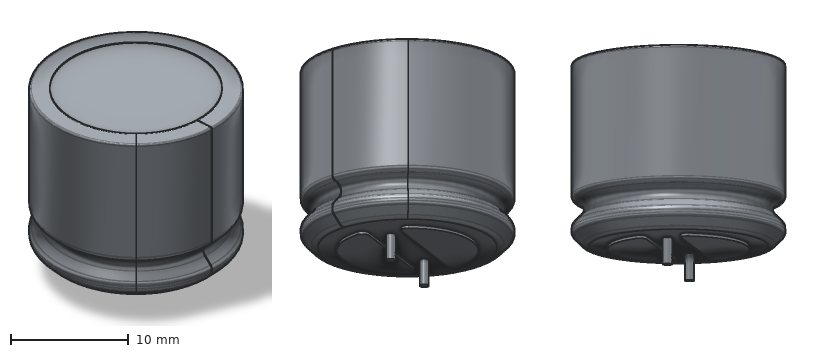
import cadquery as cq
import math


outer_radius = 9.1
top_z = 15.95
foot_height = 0.27

film_thickness = 0.1
top_opening_radius = 7.31
mark_angle = 45.0

top_edge_radius = 0.18
shoulder_radius = 0.51
shoulder_z = 4.64
shoulder_sweep = 79.0
groove_radius = 0.78
bead_upper_radius = 0.58
bead_lower_radius = 0.5
bead_lower_z = 1.51
bottom_edge_radius = 0.65
cone_slope = 45.0

join_tolerance = 0.0002

bung_radius = 7.6
bung_top_z = 3.37

foot_radius = 6.0
foot_gap = 3.0
foot_corner_radius = 0.6

pin_diameter = 0.8
pin_pitch = 7.5
pin_reach = 2.0


def on_circle(center, radius, angle):
    """Point of a circle in the (radius, height) plane at an angle from the outward direction."""
    turn = math.radians(angle)
    return (center[0] + radius * math.cos(turn), center[1] + radius * math.sin(turn))


def case_arcs():
    """Arcs of the case outline as (center, signed radius, first normal, last normal), top to bottom.

    A positive radius is a convex arc and a negative one is the concave groove. Each arc starts
    along the tangent on which the one before it ends.
    """
    top_center = (outer_radius - top_edge_radius, top_z - top_edge_radius)
    shoulder_center = (outer_radius - shoulder_radius, shoulder_z)
    groove_center = on_circle(shoulder_center, shoulder_radius + groove_radius, -shoulder_sweep)

    slope = math.radians(cone_slope)
    bead_center_radius = outer_radius - bead_upper_radius
    bead_offset = bead_center_radius - groove_center[0]
    bead_drop = (groove_radius + bead_upper_radius + bead_offset * math.cos(slope)) / math.sin(slope)
    bead_upper_center = (bead_center_radius, groove_center[1] - bead_drop)
    bead_lower_center = (outer_radius - bead_lower_radius, bead_lower_z)

    bottom_center_z = foot_height + bottom_edge_radius
    center_drop = bead_lower_z - bottom_center_z
    bottom_inset = (bottom_edge_radius - bead_lower_radius + center_drop * math.sin(slope)) / math.cos(slope)
    bottom_center = (bead_lower_center[0] - bottom_inset, bottom_center_z)

    return [
        (top_center, top_edge_radius, 90.0, 0.0),
        (shoulder_center, shoulder_radius, 0.0, -shoulder_sweep),
        (groove_center, -groove_radius, -shoulder_sweep, cone_slope),
        (bead_upper_center, bead_upper_radius, cone_slope, 0.0),
        (bead_lower_center, bead_lower_radius, 0.0, -cone_slope),
        (bottom_center, bottom_edge_radius, -cone_slope, -90.0),
    ]


def case_envelope(inset, sweep=360.0):
    """Solid of revolution inside the case outline, moved inward by inset; sweep starts at +X."""
    previous_point = (0, top_z - inset)
    outline = cq.Workplane("XZ").moveTo(*previous_point)
    for center, radius, first, last in case_arcs():
        middle = (first + last) / 2
        start_point, middle_point, end_point = [
            on_circle(center, radius - inset, angle) for angle in (first, middle, last)
        ]
        if math.dist(previous_point, start_point) > join_tolerance:
            outline = outline.lineTo(*start_point)
        outline = outline.threePointArc(middle_point, end_point)
        previous_point = end_point
    outline = outline.lineTo(0, foot_height + inset).close()
    return outline.revolve(sweep, (0, 0), (0, 1))


def cylinder(radius, bottom, top):
    return cq.Workplane("XY").workplane(offset=bottom).circle(radius).extrude(top - bottom)


def film(start_angle, sweep):
    """Sector of the thin film around the can, open over the can top and around the bung."""
    mid_z = (top_z + foot_height) / 2
    sector = case_envelope(0, sweep).rotate((0, 0, 0), (0, 0, 1), start_angle)
    sector = sector.cut(case_envelope(film_thickness))
    sector = sector.cut(cylinder(top_opening_radius, mid_z, top_z))
    return sector.cut(cylinder(bung_radius, foot_height, mid_z))


def make_can():
    """Can filling the film, with a recess for the bung."""
    return case_envelope(film_thickness).cut(cylinder(bung_radius, foot_height, bung_top_z))


def foot(side):
    """Flat circle segment on the +Y or -Y side, cut off along X, with rounded corners."""
    beyond_gap = foot_gap / 2 + foot_radius
    half_plane = cq.Workplane("XY").box(
        2 * foot_radius, 2 * foot_radius, foot_height, centered=(True, True, False)
    ).translate((0, side * beyond_gap, 0))
    segment = cylinder(foot_radius, 0, foot_height).intersect(half_plane)
    return segment.edges("|Z").fillet(foot_corner_radius)


def pin(x):
    """Wire lead through the whole bung."""
    return cylinder(pin_diameter / 2, -pin_reach, bung_top_z).translate((x, 0, 0))


def make_bung(pins):
    """Bung with a foot on the +Y and the -Y side and a hole for each pin."""
    bung = cylinder(bung_radius, foot_height, bung_top_z)
    for side in (-1, 1):
        bung = bung.union(foot(side))
    for lead in pins:
        bung = bung.cut(lead)
    return bung


sleeve = film(mark_angle / 2, 360.0 - mark_angle)
mark = film(-mark_angle / 2, mark_angle)
can = make_can()
pins = [pin(side * pin_pitch / 2) for side in (-1, 1)]
bung = make_bung(pins)

result = cq.Compound.makeCompound(
    [sleeve.val(), mark.val(), can.val(), bung.val(), *[lead.val() for lead in pins]]
)